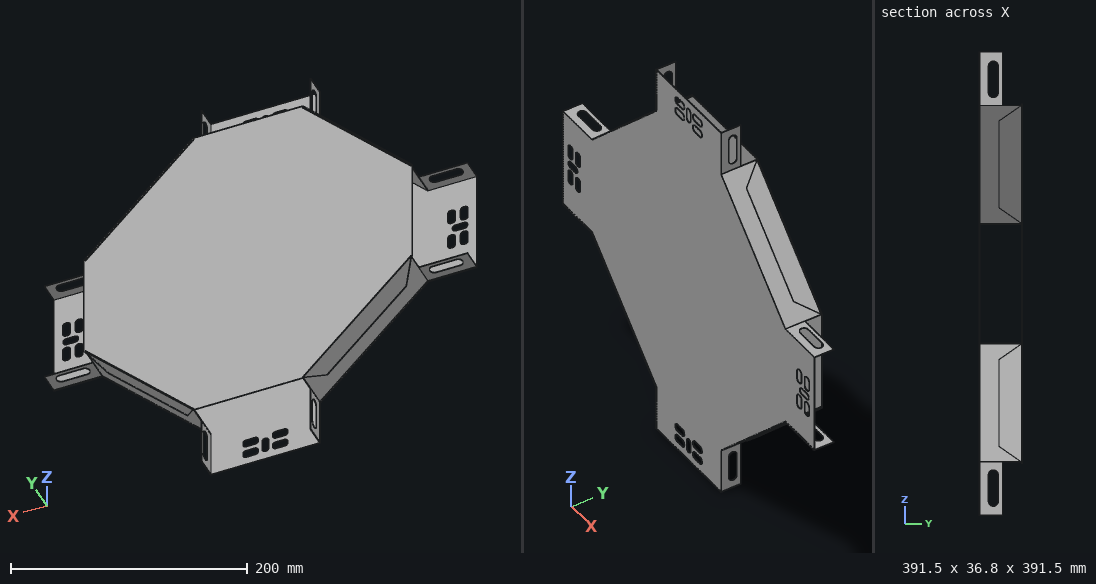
import cadquery as cq
import math


LENGTH = 391.5
HEIGHT = 36.8
SHEET = 0.8

HALF_LENGTH = LENGTH / 2
ARM_HALF_WIDTH = 51.0
CORNER_REACH = 150.5
FLANGE_HEIGHT = 20.0
WALL_HEIGHT = HEIGHT - SHEET

FLANGE_SLOT_LENGTH = 30.5
FLANGE_SLOT_WIDTH = 8.2
FLANGE_SLOT_FROM_TIP = 23.0
FLANGE_SLOT_HEIGHT = 12.0

FLOOR_SLOT_LENGTH = 14.0
SIDE_SLOT_WIDTH = 7.0
MIDDLE_SLOT_WIDTH = 6.3
FLOOR_SLOT_CORNER = 2.95
SIDE_SLOT_OFFSET = 13.7
SIDE_SLOT_FROM_TIP = 11.7
SIDE_SLOT_PITCH = 11.7
MIDDLE_SLOT_FROM_TIP = 15.5

FLAP_HEIGHT = 20.0
FLAP_TAPER = 18.8

BOTTOM_Y = -HEIGHT / 2
TOP_Y = HEIGHT / 2
ARM_ANGLES = [0, 90, 180, 270]
DIAGONAL_ANGLES = [45, 135, 225, 315]


def turned(shape, angle):
    """Turn a shape about the Y axis through the centre."""
    return shape.rotate((0, 0, 0), (0, 1, 0), angle)


def prism(points, start_y, depth):
    """Extrude an outline in the XZ plane toward +Y, from start_y."""
    plane = cq.Plane(origin=(0, start_y, 0), xDir=(1, 0, 0), normal=(0, -1, 0))
    return cq.Workplane(plane).polyline(points).close().extrude(-depth)


def around_centre(points):
    """Repeat the points of one quarter around the centre."""
    outline = []
    for _ in range(len(ARM_ANGLES)):
        outline += points
        points = [(-z, x) for x, z in points]
    return outline


def cross_outline(half_length, half_width, reach):
    """Four arms joined by 45 degree sides."""
    return around_centre([
        (reach, -half_width),
        (half_length, -half_width),
        (half_length, half_width),
        (reach, half_width),
    ])


def octagon_outline(reach, half_width):
    return around_centre([(reach, -half_width), (reach, half_width)])


def arm_slots():
    """Cutters for all the slots of the +X arm."""
    floor_plane = cq.Plane(origin=(0, BOTTOM_Y, 0), xDir=(1, 0, 0), normal=(0, -1, 0))
    side_slot_places = [
        (HALF_LENGTH - SIDE_SLOT_FROM_TIP - row * SIDE_SLOT_PITCH, side * SIDE_SLOT_OFFSET)
        for row in (0, 1)
        for side in (-1, 1)
    ]
    side_slots = (
        cq.Workplane(floor_plane)
        .pushPoints(side_slot_places)
        .rect(SIDE_SLOT_WIDTH, FLOOR_SLOT_LENGTH)
        .extrude(SHEET, both=True)
        .edges("|Y")
        .fillet(FLOOR_SLOT_CORNER)
    )
    middle_slot = (
        cq.Workplane(floor_plane)
        .center(HALF_LENGTH - MIDDLE_SLOT_FROM_TIP, 0)
        .rect(FLOOR_SLOT_LENGTH, MIDDLE_SLOT_WIDTH)
        .extrude(SHEET, both=True)
        .edges("|Y")
        .fillet(FLOOR_SLOT_CORNER)
    )
    flange_slots = (
        cq.Workplane("XY")
        .center(HALF_LENGTH - FLANGE_SLOT_FROM_TIP, BOTTOM_Y + FLANGE_SLOT_HEIGHT)
        .slot2D(FLANGE_SLOT_LENGTH, FLANGE_SLOT_WIDTH)
        .extrude(ARM_HALF_WIDTH + SHEET, both=True)
    )
    return [side_slots, middle_slot, flange_slots]


def make_tray():
    outline = cross_outline(HALF_LENGTH, ARM_HALF_WIDTH, CORNER_REACH)
    tray = prism(outline, BOTTOM_Y, FLANGE_HEIGHT)
    tray = tray.union(prism(octagon_outline(CORNER_REACH, ARM_HALF_WIDTH), BOTTOM_Y, WALL_HEIGHT))

    inner_reach = CORNER_REACH - SHEET * (math.sqrt(2) - 1)
    hollow = cross_outline(HALF_LENGTH + SHEET, ARM_HALF_WIDTH - SHEET, inner_reach)
    tray = tray.cut(prism(hollow, BOTTOM_Y + SHEET, HEIGHT))

    for angle in ARM_ANGLES:
        for cutter in arm_slots():
            tray = tray.cut(turned(cutter, angle))
    return tray


def make_flap():
    """Trapezoid flap on the outside of a diagonal wall, facing +X before it is turned into place."""
    wall_distance = (CORNER_REACH + ARM_HALF_WIDTH) / math.sqrt(2)
    half_top = (CORNER_REACH - ARM_HALF_WIDTH) / math.sqrt(2)
    half_bottom = half_top - FLAP_TAPER
    top_y = TOP_Y - SHEET
    bottom_y = TOP_Y - FLAP_HEIGHT
    return (
        cq.Workplane("YZ", origin=(wall_distance, 0, 0))
        .polyline([(top_y, -half_top), (top_y, half_top), (bottom_y, half_bottom), (bottom_y, -half_bottom)])
        .close()
        .extrude(SHEET)
    )


def make_cover():
    cover_reach = CORNER_REACH + SHEET * math.sqrt(2)
    outline = octagon_outline(cover_reach, ARM_HALF_WIDTH)
    cover = prism(outline, TOP_Y - SHEET, SHEET)
    for angle in DIAGONAL_ANGLES:
        cover = cover.union(turned(make_flap(), angle))
    return cover


tray = make_tray()
cover = make_cover()

result = cq.Compound.makeCompound([tray.solids().val(), cover.solids().val()])